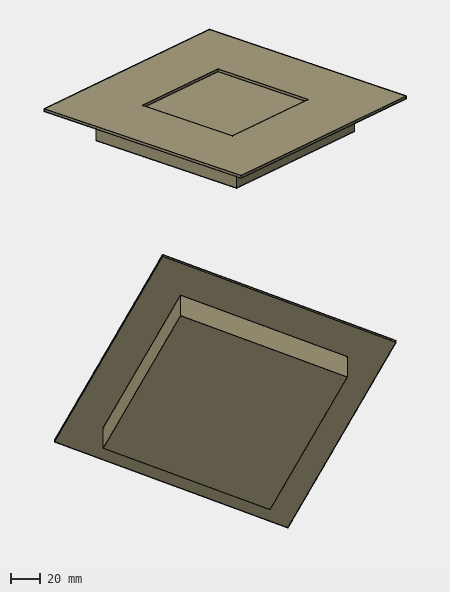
import cadquery as cq

plate_side = 175.0
plate_thickness = 2.0
total_height = 25.0
body_side = 125.0
recess_side = 80.0
recess_depth = 2.0

body_height = total_height - plate_thickness


def square_block(side, height, bottom_z):
    """Square block centred on the Z axis, standing on bottom_z."""
    return cq.Workplane("XY").workplane(offset=bottom_z).rect(side, side).extrude(height)


body = square_block(body_side, body_height, 0)
plate = square_block(plate_side, plate_thickness, body_height)

recess = square_block(recess_side, recess_depth, total_height - recess_depth)

result = body.union(plate).cut(recess)